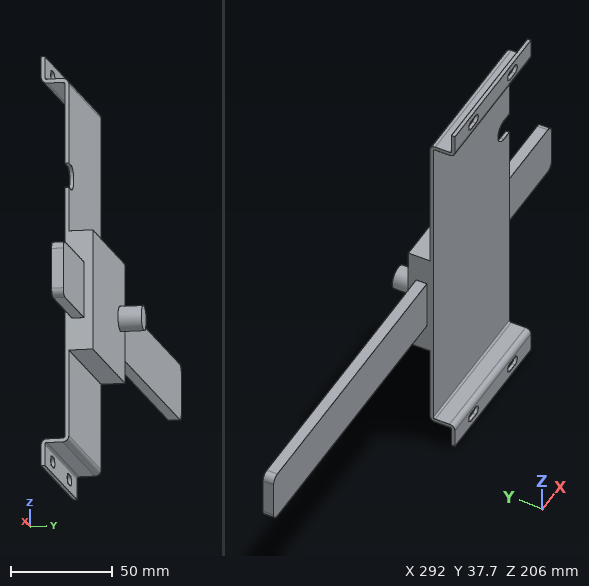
import cadquery as cq


plate_width = 80.0
plate_height = 206.0
sheet_thickness = 2.0
inner_bend_radius = 1.0
flange_offset = 12.0
flange_height = 13.5

slot_length = 10.0
slot_width = 5.0
slot_spacing = 41.0
slot_end_distance = 6.0

notch_width = 12.0
notch_depth = 12.0
notch_z = 42.7

block_height = 60.0
block_depth = 12.0
block_z = -15.4
block_back_y = sheet_thickness + block_depth

bar_length = 292.0
bar_height = 28.0
bar_thickness = 6.0
bar_corner_radius = 4.0
bar_left_overhang = 161.0
bar_front_y = 3.6

pin_diameter = 12.5
pin_length = 11.7
pin_edge_distance = 11.5

left_edge_x = -plate_width / 2
right_edge_x = plate_width / 2


def centered_box(width, depth, height, center_x, front_y, center_z):
    """Box centred in X and Z that extends in +Y from front_y."""
    box = cq.Workplane("XY").box(width, depth, height, centered=(True, False, True))
    return box.translate((center_x, front_y, center_z))


def round_bends(plate, corners, radius):
    """Round the bend edges at the given (y, z) corners and at their mirrors in Z."""
    for y, z in corners:
        for corner_z in (z, -z):
            nearest = cq.NearestToPointSelector((0, y, corner_z))
            plate = plate.edges("|X").edges(nearest).fillet(radius)
    return plate


def joggled_plate():
    """Plate with both ends stepped forward into flanges, bent from one sheet."""
    half_height = plate_height / 2
    joggle_inner_z = half_height - flange_height
    joggle_outer_z = joggle_inner_z + sheet_thickness
    flange_front_y = -flange_offset
    flange_back_y = flange_front_y + sheet_thickness

    profile = (
        cq.Workplane("YZ")
        .moveTo(sheet_thickness, -joggle_outer_z)
        .lineTo(sheet_thickness, joggle_outer_z)
        .lineTo(flange_back_y, joggle_outer_z)
        .lineTo(flange_back_y, half_height)
        .lineTo(flange_front_y, half_height)
        .lineTo(flange_front_y, joggle_inner_z)
        .lineTo(0, joggle_inner_z)
        .lineTo(0, -joggle_inner_z)
        .lineTo(flange_front_y, -joggle_inner_z)
        .lineTo(flange_front_y, -half_height)
        .lineTo(flange_back_y, -half_height)
        .lineTo(flange_back_y, -joggle_outer_z)
        .close()
    )
    plate = profile.extrude(plate_width / 2, both=True)

    inner_corners = [(0, joggle_inner_z), (flange_back_y, joggle_outer_z)]
    outer_corners = [(sheet_thickness, joggle_outer_z), (flange_front_y, joggle_inner_z)]
    outer_bend_radius = inner_bend_radius + sheet_thickness
    plate = round_bends(plate, inner_corners, inner_bend_radius)
    return round_bends(plate, outer_corners, outer_bend_radius)


def mounting_slots():
    """Cutters for the two slots in each flange."""
    slot_z = plate_height / 2 - slot_end_distance
    slot_x = slot_spacing / 2
    centers = [(x, z) for x in (-slot_x, slot_x) for z in (-slot_z, slot_z)]
    return (
        cq.Workplane("XZ")
        .pushPoints(centers)
        .slot2D(slot_length, slot_width)
        .extrude(flange_offset)
    )


def edge_notch():
    """Cutter for the round-ended notch, open at the right plate edge."""
    return (
        cq.Workplane("XZ")
        .center(right_edge_x, notch_z)
        .slot2D(2 * notch_depth, notch_width)
        .extrude(-sheet_thickness)
    )


def guide_block():
    return centered_box(plate_width, block_depth, block_height, 0, sheet_thickness, block_z)


def flat_bar():
    center_x = left_edge_x - bar_left_overhang + bar_length / 2
    bar = centered_box(bar_length, bar_thickness, bar_height, center_x, bar_front_y, block_z)
    return bar.edges("|Y").fillet(bar_corner_radius)


def back_pin():
    return (
        cq.Workplane("XZ", origin=(left_edge_x + pin_edge_distance, block_back_y, block_z))
        .circle(pin_diameter / 2)
        .extrude(-pin_length)
    )


plate = joggled_plate().cut(mounting_slots()).cut(edge_notch())
result = plate.union(guide_block()).union(flat_bar()).union(back_pin())